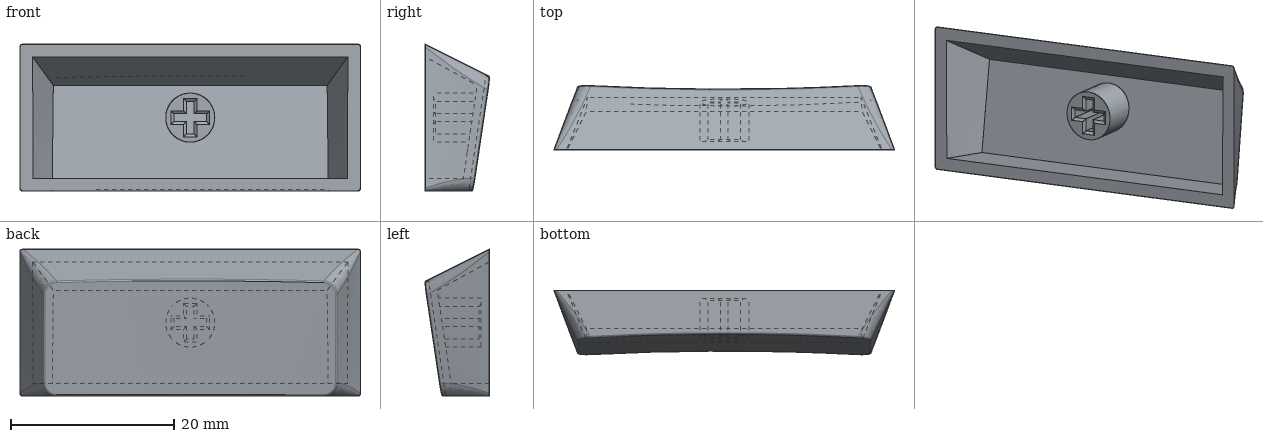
import cadquery as cq
import math

LENGTH = 41.7
HEIGHT = 18.0
BASE_CORNER = 0.35

CROWN_LENGTH = 35.9
CROWN_UPPER_Y = 7.95
CROWN_UPPER_Z = 5.0
CROWN_LOWER_Y = 5.9
CROWN_CORNER = 1.65
MIDDLE_FRACTION = 0.7
MIDDLE_CORNER = 1.45
DISH_SAG = 0.55
RIM_FILLET = 0.2

WALL = 1.55
MOUTH_UPPER_LENGTH = 38.65
MOUTH_LOWER_LENGTH = 38.45
FLOOR_UPPER_LENGTH = 33.55
FLOOR_LOWER_LENGTH = 33.8
FLOOR_UPPER_Z = 3.95
FLOOR_UPPER_Y = 6.4

STEM_DIAMETER = 6.0
STEM_FACE_Y = 1.0
CROSS_SPAN = 4.7
CROSS_ARM = 1.65
SOCKET_CHAMFER_INSET = 0.355
SOCKET_CHAMFER_DEPTH = 0.25

LOWER_Z = -HEIGHT / 2
CROWN_RUN = CROWN_UPPER_Z - LOWER_Z
CROWN_MIDDLE_Y = (CROWN_UPPER_Y + CROWN_LOWER_Y) / 2
CROWN_MIDDLE_Z = (CROWN_UPPER_Z + LOWER_Z) / 2
CROWN_TILT = math.atan2(CROWN_UPPER_Y - CROWN_LOWER_Y, CROWN_RUN)


def front_plane(y):
    """Plane at the given Y, with local axes +X and +Z."""
    return cq.Plane(origin=(0, y, 0), xDir=(1, 0, 0), normal=(0, -1, 0))


def tilted_plane(y, z, tilt):
    """Plane at the given Y and Z, leaning so that its upper side is deeper in Y."""
    normal = (0, -math.cos(tilt), math.sin(tilt))
    return cq.Plane(origin=(0, y, z), xDir=(1, 0, 0), normal=normal)


def rounded_wire(plane, length, height, radius):
    """Rounded rectangle centred on the plane's origin."""
    outline = cq.Sketch().rect(length, height).vertices().fillet(radius)
    slab = cq.Workplane(plane).placeSketch(outline).extrude(0.4)
    return slab.faces(cq.NearestToPointSelector(plane.origin.toTuple())).val().outerWire()


def section_wire(fraction, corner):
    """Outer section at a fraction of the way from the mouth to the crown; its walls stay straight."""
    length = LENGTH + fraction * (CROWN_LENGTH - LENGTH)
    upper_y = fraction * CROWN_UPPER_Y
    lower_y = fraction * CROWN_LOWER_Y
    upper_z = -LOWER_Z + fraction * (CROWN_UPPER_Z + LOWER_Z)
    run = upper_z - LOWER_Z
    slope_length = math.hypot(upper_y - lower_y, run)
    tilt = math.atan2(upper_y - lower_y, run)
    plane = tilted_plane((upper_y + lower_y) / 2, (upper_z + LOWER_Z) / 2, tilt)
    return rounded_wire(plane, length, slope_length, corner)


def make_shell():
    sections = [
        section_wire(0, BASE_CORNER),
        section_wire(MIDDLE_FRACTION, MIDDLE_CORNER),
        section_wire(1, CROWN_CORNER),
    ]
    body = cq.Workplane(cq.Solid.makeLoft(sections))
    dished = body.cut(make_dish())
    crown_face = dished.faces(cq.NearestToPointSelector((0, CROWN_MIDDLE_Y - DISH_SAG, CROWN_MIDDLE_Z)))
    return crown_face.edges().fillet(RIM_FILLET)


def make_dish():
    """Shallow cylinder along the crown slope, hollowing its middle."""
    crown_plane = tilted_plane(CROWN_MIDDLE_Y, CROWN_MIDDLE_Z, CROWN_TILT)
    radius = (CROWN_LENGTH**2 / 4 + DISH_SAG**2) / (2 * DISH_SAG)
    across = cq.Plane(origin=crown_plane.origin, xDir=(1, 0, 0), normal=crown_plane.yDir)
    return (
        cq.Workplane(across)
        .center(0, radius - DISH_SAG)
        .circle(radius)
        .extrude(HEIGHT, both=True)
    )


def trapezoid_wire(plane, upper_length, lower_length, height):
    """Symmetric trapezoid centred on the plane's origin."""
    corners = [
        (-lower_length / 2, -height / 2),
        (lower_length / 2, -height / 2),
        (upper_length / 2, height / 2),
        (-upper_length / 2, height / 2),
    ]
    return cq.Workplane(plane).polyline(corners).close().wires().val()


def make_cavity():
    """Tapered hollow whose floor runs parallel to the crown."""
    mouth_height = HEIGHT - 2 * WALL
    floor_lower_z = -mouth_height / 2
    floor_run = FLOOR_UPPER_Z - floor_lower_z
    floor_y = FLOOR_UPPER_Y - floor_run / 2 * math.tan(CROWN_TILT)
    floor_plane = tilted_plane(floor_y, (FLOOR_UPPER_Z + floor_lower_z) / 2, CROWN_TILT)
    floor_height = floor_run / math.cos(CROWN_TILT)
    mouth = trapezoid_wire(front_plane(0), MOUTH_UPPER_LENGTH, MOUTH_LOWER_LENGTH, mouth_height)
    floor = trapezoid_wire(floor_plane, FLOOR_UPPER_LENGTH, FLOOR_LOWER_LENGTH, floor_height)
    return cq.Workplane(cq.Solid.makeLoft([mouth, floor], True))


def cross_wire(y, inset):
    """Cross outline at the given Y, shrunk all round by the inset."""
    span = CROSS_SPAN / 2 - inset
    arm = CROSS_ARM / 2 - inset
    quarter = [(span, -arm), (span, arm), (arm, arm)]
    points = []
    for _ in range(4):
        points += quarter
        quarter = [(-z, x) for x, z in quarter]
    return cq.Workplane(front_plane(y)).polyline(points).close().wires().val()


def make_socket():
    """Cross-shaped hole down to the cavity floor, with a chamfered mouth."""
    chamfer_end_y = STEM_FACE_Y + SOCKET_CHAMFER_DEPTH
    mouth = cross_wire(STEM_FACE_Y, 0)
    throat = cross_wire(chamfer_end_y, SOCKET_CHAMFER_INSET)
    end = cross_wire(FLOOR_UPPER_Y, SOCKET_CHAMFER_INSET)
    chamfer = cq.Workplane(cq.Solid.makeLoft([mouth, throat], True))
    return chamfer.union(cq.Workplane(cq.Solid.makeLoft([throat, end], True)))


cavity = make_cavity()
stem = (
    cq.Workplane(front_plane(STEM_FACE_Y))
    .circle(STEM_DIAMETER / 2)
    .extrude(STEM_FACE_Y - CROWN_UPPER_Y)
    .intersect(cavity)
)
socket = make_socket().intersect(cavity)
result = make_shell().cut(cavity).union(stem).cut(socket)